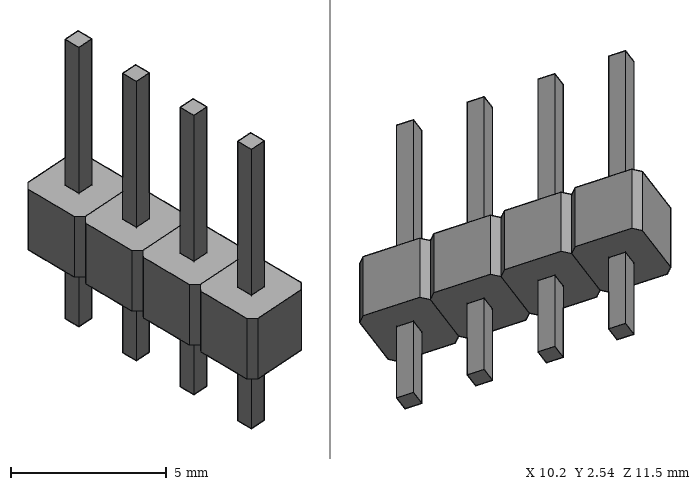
import cadquery as cq

pin_count = 4
row_length = 10.15
pitch = row_length / pin_count
housing_depth = 2.54
housing_height = 2.5
corner_chamfer = 0.25
pin_width = 0.61
pin_length = 11.5
pin_tail = 3.0


def make_pin(x):
    """Square pin, with its lower end at -pin_tail."""
    return (
        cq.Workplane("XY", origin=(x, 0, -pin_tail))
        .rect(pin_width, pin_width)
        .extrude(pin_length)
    )


def make_housing(x):
    """Block one pitch long with chamfered upright corners and a square hole for its pin."""
    block = (
        cq.Workplane("XY", origin=(x, 0, 0))
        .rect(pitch, housing_depth)
        .extrude(housing_height)
        .edges("|Z")
        .chamfer(corner_chamfer)
    )
    return block.cut(make_pin(x))


housings = []
pins = []
for index in range(pin_count):
    position = (index - (pin_count - 1) / 2) * pitch
    housings.append(make_housing(position))
    pins.append(make_pin(position))

result = cq.Compound.makeCompound([body.val() for body in housings + pins])